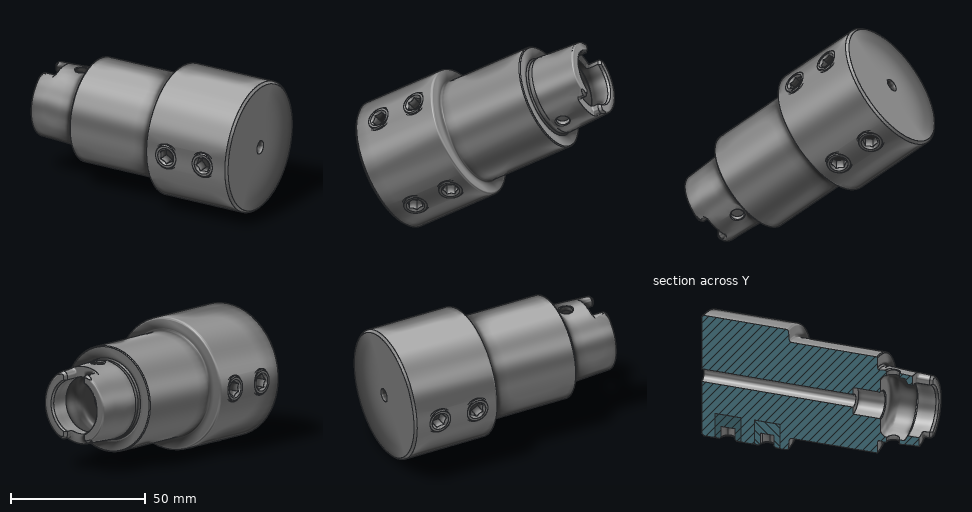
import cadquery as cq
import math


total_length = 89.9
taper_end = 17.8
groove_start = 18.8
groove_end = 19.5
flange_face = 20.0
body_end = 54.1
neck_end = 55.0
head_face = 55.3

taper_tip_radius = 14.2
taper_base_radius = 15.0
groove_radius = 14.7
undercut_inner_radius = 15.4
undercut_outer_radius = 16.2
undercut_depth = 0.2
body_radius = 20.0
head_radius = 25.0

tip_round = 0.9
body_chamfer = 0.4
neck_fillet = neck_end - body_end
head_round = 1.0
head_chamfer = 0.9

bore_radius = 10.5
mouth_radius = 11.0
mouth_chamfer_length = 1.0
clamp_cone_start = 8.1
clamp_cone_angle = 60.0
cavity_radius = 12.8
cavity_floor = 18.9
cavity_fillet = 3.0
pilot_radius = 5.4
pilot_chamfer = 0.4
pilot_depth = 10.8
coolant_radius = 2.5

upper_slot_depth = 6.1
lower_slot_depth = 3.6
slot_half_width = 4.0
slot_floor_fillet = 0.8
ear_chamfer = 1.0
ear_round = 1.9
ear_round_height = 11.0
ear_slope_angle = 20.0
slot_outer_half_width = 8.5
slot_top = 18.0

access_hole_x = 13.9
access_hole_radius = 2.4
access_hole_chamfer = 0.49

screw_stations = (63.8, 79.4)
screw_radius = 5.0
screw_length = 10.0
screw_chamfer = 0.7
socket_across_flats = 5.0
socket_depth = 5.0
socket_mouth_radius = 3.4
hex_turns = (0.0, 38.0)
screw_turns = (0.0, 90.0, 180.0)

X_AXIS = ((0, 0, 0), (1, 0, 0))
Z_AXIS = ((0, 0, 0), (0, 0, 1))
FULL_TURN = 360
WITHIN_SECTION = "not(<Z or >Z or <Y or >Y)"


def revolve_about_x(profile):
    """Close an X-radius outline and turn it about the X axis."""
    return profile.close().revolve(FULL_TURN, *X_AXIS)


def make_outer_form():
    """The outside of the housing: taper, groove with undercut, flange, body, neck and head."""
    profile = (
        cq.Workplane("XY")
        .lineTo(0, taper_tip_radius - tip_round)
        .radiusArc((tip_round, taper_tip_radius), tip_round)
        .lineTo(taper_end, taper_base_radius)
        .lineTo(groove_start, groove_radius)
        .lineTo(groove_end, groove_radius)
        .lineTo(flange_face + undercut_depth, undercut_inner_radius)
        .lineTo(flange_face, undercut_outer_radius)
        .lineTo(flange_face, body_radius - body_chamfer)
        .lineTo(flange_face + body_chamfer, body_radius)
        .lineTo(body_end, body_radius)
        .radiusArc((neck_end, body_radius + neck_fillet), -neck_fillet)
        .lineTo(head_face, head_radius - head_round)
        .radiusArc((head_face + head_round, head_radius), head_round)
        .lineTo(total_length - head_chamfer, head_radius)
        .lineTo(total_length, head_radius - head_chamfer)
        .lineTo(total_length, 0)
    )
    return revolve_about_x(profile)


def make_bore():
    """The hollow of the shank, opening behind a clamping cone, then the pilot and the coolant hole."""
    cone_length = (cavity_radius - bore_radius) / math.tan(math.radians(clamp_cone_angle))
    pilot_floor = cavity_floor + pilot_depth
    profile = (
        cq.Workplane("XY")
        .lineTo(0, mouth_radius)
        .lineTo(mouth_chamfer_length, bore_radius)
        .lineTo(clamp_cone_start, bore_radius)
        .lineTo(clamp_cone_start + cone_length, cavity_radius)
        .lineTo(cavity_floor - cavity_fillet, cavity_radius)
        .radiusArc((cavity_floor, cavity_radius - cavity_fillet), cavity_fillet)
        .lineTo(cavity_floor, pilot_radius + pilot_chamfer)
        .lineTo(cavity_floor + pilot_chamfer, pilot_radius)
        .lineTo(pilot_floor, pilot_radius)
        .lineTo(pilot_floor, coolant_radius)
        .lineTo(total_length, coolant_radius)
        .lineTo(total_length, 0)
    )
    return revolve_about_x(profile)


def make_slot(depth, turn):
    """Cutter for one driving slot between two ears.

    Each ear has a straight wall, a rounded corner and a slope out to the taper. The slot floor
    is filleted and the ear edges at the end face are chamfered.
    """
    slope = math.radians(ear_slope_angle)
    round_centre_y = slot_half_width + ear_round
    slope_y = round_centre_y + ear_round * math.sin(slope)
    slope_z = ear_round_height + ear_round * math.cos(slope)
    outer_z = slope_z - (slot_outer_half_width - slope_y) * math.tan(slope)
    half_slot = (
        cq.Workplane("YZ")
        .lineTo(slot_half_width, 0)
        .lineTo(slot_half_width, ear_round_height)
        .radiusArc((slope_y, slope_z), ear_round)
        .lineTo(slot_outer_half_width, outer_z)
        .lineTo(slot_outer_half_width, slot_top)
        .lineTo(0, slot_top)
        .close()
        .extrude(depth)
    )
    slot = half_slot.union(half_slot.mirror("XZ")).clean()
    slot = slot.faces(">X").edges(WITHIN_SECTION).fillet(slot_floor_fillet)
    envelope = cq.Workplane("YZ").rect(2 * slot_outer_half_width, slot_top).extrude(depth)
    envelope = envelope.translate((0, 0, slot_top / 2))
    ears = envelope.cut(slot)
    ears = ears.faces("<X").edges(WITHIN_SECTION).chamfer(ear_chamfer)
    return envelope.cut(ears).rotate(*X_AXIS, turn)


def make_access_holes():
    """Both radial holes on one axis, each countersunk where it opens on the taper."""
    opening = taper_tip_radius + (taper_base_radius - taper_tip_radius) * access_hole_x / taper_end
    wide_radius = access_hole_radius + access_hole_chamfer
    half_profile = (
        cq.Workplane("XZ")
        .lineTo(access_hole_radius, 0)
        .lineTo(access_hole_radius, opening - access_hole_chamfer)
        .lineTo(wide_radius, opening)
        .lineTo(wide_radius, body_radius)
        .lineTo(0, body_radius)
        .close()
    )
    upper = half_profile.revolve(FULL_TURN, (0, 0, 0), (0, 1, 0))
    holes = upper.union(upper.mirror("XY"))
    return holes.translate((access_hole_x, 0, 0))


def place_screw(shape, station, turn):
    """Move a shape built around +Z, its outer end at Z = 0, to one screw position in the head."""
    return (
        shape.translate((0, 0, head_radius))
        .rotate(*X_AXIS, 90 + turn)
        .translate((station, 0, 0))
    )


def make_screw_blank():
    """A set screw before its socket is cut: a rod with a chamfered outer end."""
    rod = cq.Workplane("XY").circle(screw_radius).extrude(-screw_length)
    return rod.faces(">Z").chamfer(screw_chamfer)


def make_screw_hole():
    """The hole that a set screw fills, kept open above the flat end of the screw."""
    opening = cq.Workplane("XY").circle(screw_radius - screw_chamfer).extrude(screw_chamfer)
    return make_screw_blank().union(opening)


def make_set_screw(hex_turn):
    """A set screw with a hexagon socket that is countersunk at its mouth."""
    socket = (
        cq.Workplane("XY")
        .polygon(6, socket_across_flats, circumscribed=True)
        .extrude(-socket_depth)
        .rotate(*Z_AXIS, hex_turn)
    )
    mouth_cone = (
        cq.Workplane("XZ")
        .lineTo(socket_mouth_radius, 0)
        .lineTo(0, -socket_mouth_radius)
        .close()
        .revolve(FULL_TURN, (0, 0, 0), (0, 1, 0))
    )
    return make_screw_blank().cut(socket).cut(mouth_cone)


housing = make_outer_form()
housing = housing.cut(make_slot(upper_slot_depth, 0))
housing = housing.cut(make_slot(lower_slot_depth, 180))
housing = housing.cut(make_bore())
housing = housing.cut(make_access_holes())

set_screws = []
for turn in screw_turns:
    for station, hex_turn in zip(screw_stations, hex_turns):
        housing = housing.cut(place_screw(make_screw_hole(), station, turn))
        set_screws.append(place_screw(make_set_screw(hex_turn), station, turn).val())

result = cq.Compound.makeCompound([housing.val(), *set_screws])